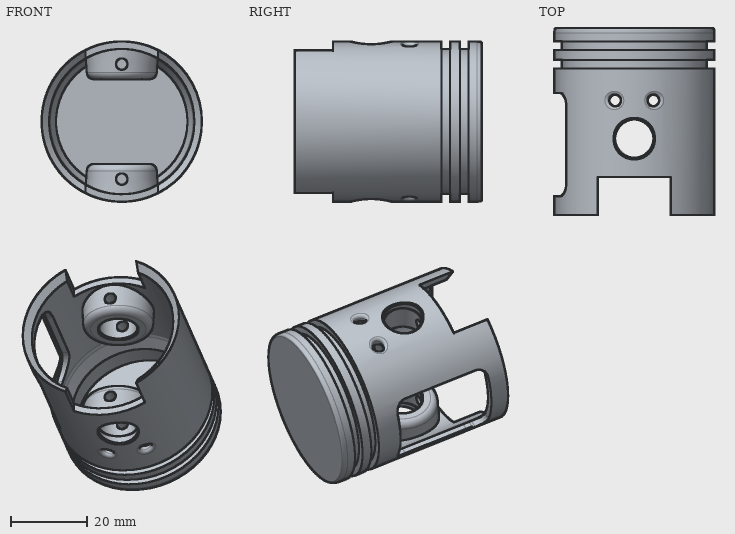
import cadquery as cq

length = 49.0
outer_radius = 42.0 / 2
bore_radius = 38.0 / 2
wall = outer_radius - bore_radius
clearance = 0.5

crown_edge_height = 1.3
crown_edge_inset = 0.7
groove_width = 2.25
groove_depths = (3.5, 8.35)

crown_thickness = 2.75
crown_recess_radius = 17.2
crown_recess_end_y = 40.42
neck_radius = 18.65
neck_y = 36.65
bore_end_y = 35.55

pin_y = 20.05
pin_diameter = 10.0
pin_counterbore_diameter = 10.2
pin_counterbore_z = 18.6
pin_chamfer = 0.35
boss_face_z = 11.05
boss_face_radius = 9.05
boss_draft = 3.5
boss_fillet = 1.9

small_hole_diameter = 3.0
boss_hole_z = 15.05
oil_hole_x = 5.0
oil_hole_y = 30.05
oil_hole_fillet = 0.9

notch_width = 19.0
notch_height = 10.0
window_bottom_y = 5.0
window_top_y = 31.95
window_width = 22.15
window_corner = 3.1
window_lip = 0.45
pocket_top_y = 33.8
pocket_width = window_width + 0.5
pocket_corner = 5.4


def revolve_about_y(profile):
    return profile.close().revolve(360, (0, 0, 0), (0, 1, 0))


def outer_body():
    """Solid piston with a rounded crown edge and two ring grooves."""
    profile = (
        cq.Workplane("XY")
        .lineTo(outer_radius, 0)
        .lineTo(outer_radius, length - crown_edge_height)
        .spline(
            [(outer_radius - crown_edge_inset, length)],
            tangents=[(0, 1), (-1, 0)],
            includeCurrent=True,
        )
        .lineTo(0, length)
    )
    body = revolve_about_y(profile)
    for depth in groove_depths:
        ring = (
            cq.Workplane("XZ", origin=(0, length - depth, 0))
            .circle(outer_radius + clearance)
            .circle(bore_radius)
            .extrude(groove_width)
        )
        body = body.cut(ring)
    return body


def inner_cavity():
    """Hollow that flares to a sharp outer rim and narrows under the crown."""
    ceiling_y = length - crown_thickness
    profile = (
        cq.Workplane("XY")
        .lineTo(outer_radius, 0)
        .lineTo(bore_radius, wall)
        .lineTo(bore_radius, bore_end_y)
        .lineTo(neck_radius, neck_y)
        .lineTo(crown_recess_radius, crown_recess_end_y)
        .lineTo(crown_recess_radius, ceiling_y)
        .lineTo(0, ceiling_y)
    )
    return revolve_about_y(profile)


def pin_boss(side):
    """Drafted boss on the +Z (side = 1) or -Z (side = -1) wall."""
    face_plane = cq.Plane((0, pin_y, side * boss_face_z), (1, 0, 0), (0, 0, side))
    boss = (
        cq.Workplane(face_plane)
        .circle(boss_face_radius)
        .extrude(outer_radius - boss_face_z, taper=-boss_draft)
        .faces("<Z" if side > 0 else ">Z")
        .edges()
        .fillet(boss_fillet)
    )
    mid_wall_radius = bore_radius + wall / 2
    envelope = cq.Workplane("XZ").circle(mid_wall_radius).extrude(-length)
    return boss.intersect(envelope)


def z_cylinder(x, y, diameter, start, end):
    """Cylinder along Z between two heights."""
    return cq.Workplane("XY", origin=(x, y, start)).circle(diameter / 2).extrude(end - start)


def hole_rims(body, x, y, diameter, z_inner):
    """Edges of a Z hole lying beyond z_inner on both sides."""
    half = diameter / 2 + clearance
    far = outer_radius + clearance
    rims = body.edges(cq.selectors.BoxSelector(
        (x - half, y - half, z_inner), (x + half, y + half, far)))
    return rims.add(body.edges(cq.selectors.BoxSelector(
        (x - half, y - half, -far), (x + half, y + half, -z_inner))))


def drill_oil_holes(body):
    reach = outer_radius + clearance
    for x in (-oil_hole_x, oil_hole_x):
        body = body.cut(z_cylinder(x, oil_hole_y, small_hole_diameter, -reach, reach))
        rims = hole_rims(body, x, oil_hole_y, small_hole_diameter, bore_radius)
        body = rims.fillet(oil_hole_fillet)
    return body


def drill_boss_holes(body):
    """Holes along Y through both walls of each boss."""
    for z in (-boss_hole_z, boss_hole_z):
        drill = (
            cq.Workplane("XZ", origin=(0, 0, z))
            .circle(small_hole_diameter / 2)
            .extrude(-(pin_y + boss_face_radius + 2 * clearance))
        )
        body = body.cut(drill)
    return body


def drill_pin_bore(body):
    """Pin bore, slightly wider near the outside, with chamfered mouths."""
    reach = outer_radius + clearance
    body = body.cut(z_cylinder(0, pin_y, pin_diameter, -reach, reach))
    for side in (1, -1):
        body = body.cut(
            z_cylinder(0, pin_y, pin_counterbore_diameter, side * pin_counterbore_z, side * reach)
        )
        face_plane = cq.Plane((0, pin_y, side * boss_face_z), (1, 0, 0), (0, 0, side))
        inner_mouth = (
            cq.Workplane(face_plane)
            .circle(pin_diameter / 2 + pin_chamfer)
            .extrude(pin_chamfer, taper=45)
        )
        body = body.cut(inner_mouth)
    outer_rims = hole_rims(
        body, 0, pin_y, pin_counterbore_diameter, pin_counterbore_z + clearance
    )
    return outer_rims.chamfer(pin_chamfer)


def skirt_notch():
    """Slot across the open end, through the +Z and -Z walls."""
    return cq.Workplane("XY").box(notch_width, 2 * notch_height, 2 * length)


def window_prism(top_y, width, corner):
    """Block with rounded corners that reaches from beside the bosses through the -X wall."""
    inner_x = -bore_radius / 2
    height = top_y - window_bottom_y
    return (
        cq.Workplane("YZ", origin=(inner_x, window_bottom_y + height / 2, 0))
        .rect(height, width)
        .extrude(-outer_radius - clearance - inner_x)
        .edges("|X")
        .fillet(corner)
    )


def skirt_window():
    """Opening through the -X wall, undercut at the sides and towards the crown behind a thin lip."""
    lip_cylinder = cq.Workplane("XZ").circle(outer_radius - window_lip).extrude(-length)
    pocket = window_prism(pocket_top_y, pocket_width, pocket_corner).intersect(lip_cylinder)
    return window_prism(window_top_y, window_width, window_corner).union(pocket)


piston = outer_body().cut(inner_cavity())
piston = piston.cut(skirt_notch())
piston = drill_oil_holes(piston)
for boss_side in (1, -1):
    piston = piston.union(pin_boss(boss_side))
piston = drill_pin_bore(piston)
piston = drill_boss_holes(piston)
result = piston.cut(skirt_window())